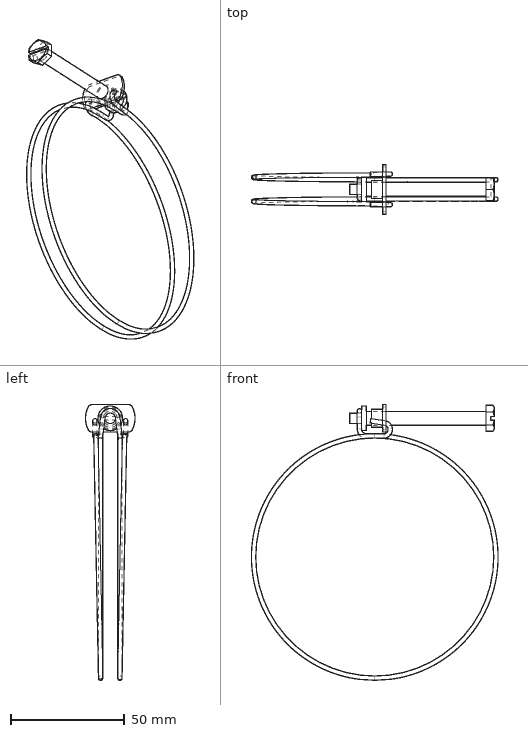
import cadquery as cq
import math


wire_diameter = 2.0
wire_radius = wire_diameter / 2
ring_radius = 53.48
ring_offset = 4.25
ring_start_offset = 6.35
hook_offset = 6.75
hook_bend_radius = 2.85
hook_bend_x = 4.0
hook_tip_x = -1.9
hook_angle = math.radians(8.5)
foot_bend_radius = 3.0

bolt_z = 61.23
shaft_radius = 3.1
tip_radius = 2.3
tip_end_x = -11.1
collar_radius = 5.45
collar_start_x = -5.75
collar_thickness = 2.0
head_start_x = 49.0
head_length = 3.8
head_flats = 10.0
head_corner_diameter = head_flats / math.cos(math.pi / 6)
head_chamfer_angle = math.radians(30)
head_face_radius = 4.75
slot_width = 1.5
slot_depth = 1.5

plate_width = 21.97
plate_height = 12.3
plate_thickness = 1.5
plate_start_x = 3.5
plate_side_radius = 11.0
plate_corner_radius = 2.2
sleeve_radius = 4.0
sleeve_length = 5.0

loop_x = collar_start_x - wire_radius
loop_radius = tip_radius + wire_radius

corner_drop = bolt_z - ring_radius
corner_distance = math.hypot(ring_offset, corner_drop)
loop_end_angle = math.acos(loop_radius / corner_distance) - math.atan2(corner_drop, ring_offset)
loop_end_y = loop_radius * math.cos(loop_end_angle)
loop_end_z = bolt_z + loop_radius * math.sin(loop_end_angle)


def rod(start_x, end_x, radius):
    """Cylinder on the bolt axis."""
    return cq.Workplane("YZ", origin=(start_x, 0, bolt_z)).circle(radius).extrude(end_x - start_x)


def make_head():
    """Hexagon head, corners up and down, with a conical chamfer and a driver slot on the end face."""
    head_end_x = head_start_x + head_length
    head = (
        cq.Workplane("YZ", origin=(head_start_x, 0, bolt_z))
        .transformed(rotate=(0, 0, 90))
        .polygon(6, head_corner_diameter)
        .extrude(head_length)
    )
    outer_radius = head_corner_diameter
    cone_depth = (outer_radius - head_face_radius) * math.tan(head_chamfer_angle)
    chamfer_envelope = (
        cq.Workplane("XY", origin=(0, 0, bolt_z))
        .moveTo(head_start_x - cone_depth, 0)
        .lineTo(head_end_x, 0)
        .lineTo(head_end_x, head_face_radius)
        .lineTo(head_end_x - cone_depth, outer_radius)
        .lineTo(head_start_x - cone_depth, outer_radius)
        .close()
        .revolve(360, (0, 0, 0), (1, 0, 0))
    )
    slot = (
        cq.Workplane("XY")
        .box(2 * slot_depth, 2 * head_flats, slot_width)
        .translate((head_end_x, 0, bolt_z))
    )
    return head.intersect(chamfer_envelope).cut(slot)


def make_bolt():
    """Shaft with a hexagon head, a collar and a thinner tip beyond the collar."""
    collar_end_x = collar_start_x + collar_thickness
    tip = rod(tip_end_x, collar_start_x, tip_radius)
    collar = rod(collar_start_x, collar_end_x, collar_radius)
    shaft = rod(collar_end_x, head_start_x, shaft_radius)
    return tip.union(collar).union(shaft).union(make_head())


def half_wire_edges(side):
    """Centreline edges from a hook tip to the loop, on the +Y (side=1) or -Y (side=-1) half."""
    hook_y = side * hook_offset
    start_y = side * ring_start_offset
    ring_y = side * ring_offset
    minus_x = cq.Vector(-1, 0, 0)

    bend_z = ring_radius + hook_bend_radius
    bend_top = cq.Vector(
        hook_bend_x + hook_bend_radius * math.sin(hook_angle),
        hook_y,
        bend_z + hook_bend_radius * math.cos(hook_angle),
    )
    hook_tip = cq.Vector(
        hook_tip_x, hook_y, bend_top.z + (bend_top.x - hook_tip_x) * math.tan(hook_angle)
    )
    bend_side = cq.Vector(hook_bend_x + hook_bend_radius, hook_y, bend_z)
    bend_bottom = cq.Vector(hook_bend_x, hook_y, ring_radius)

    ring_start = cq.Vector(0, start_y, ring_radius)
    ring_left = cq.Vector(-ring_radius, (start_y + ring_y) / 2, 0)
    ring_bottom = cq.Vector(0, ring_y, -ring_radius)
    ring_right = cq.Vector(ring_radius, ring_y, 0)
    ring_end = cq.Vector(0, ring_y, ring_radius)

    corner = cq.Vector(loop_x, ring_y, ring_radius)
    leg_end = cq.Vector(loop_x, side * loop_end_y, loop_end_z)
    leg_direction = (leg_end - corner).normalized()
    foot_start = corner - minus_x * foot_bend_radius
    foot_end = corner + leg_direction * foot_bend_radius
    foot_middle_shift = foot_bend_radius * (1 - math.sqrt(0.5))
    foot_middle = corner + (leg_direction - minus_x) * foot_middle_shift

    return [
        cq.Edge.makeLine(hook_tip, bend_top),
        cq.Edge.makeThreePointArc(bend_top, bend_side, bend_bottom),
        cq.Edge.makeSpline([bend_bottom, ring_start], tangents=[minus_x, minus_x]),
        cq.Edge.makeThreePointArc(ring_start, ring_left, ring_bottom),
        cq.Edge.makeThreePointArc(ring_bottom, ring_right, ring_end),
        cq.Edge.makeLine(ring_end, foot_start),
        cq.Edge.makeThreePointArc(foot_start, foot_middle, foot_end),
        cq.Edge.makeLine(foot_end, leg_end),
    ]


def make_wire():
    """One round wire: hook, ring, loop over the bolt tip, second ring, second hook."""
    loop = cq.Edge.makeThreePointArc(
        cq.Vector(loop_x, loop_end_y, loop_end_z),
        cq.Vector(loop_x, 0, bolt_z + loop_radius),
        cq.Vector(loop_x, -loop_end_y, loop_end_z),
    )
    path = cq.Wire.assembleEdges(half_wire_edges(1) + [loop] + half_wire_edges(-1)[::-1])
    hook_edge = half_wire_edges(1)[0]
    section = cq.Plane(origin=hook_edge.startPoint(), normal=hook_edge.tangentAt(0))
    return cq.Workplane(section).circle(wire_radius).sweep(cq.Workplane(path))


def make_plate(wire):
    """Plate with bulged sides and a sleeve, bored for the bolt and pierced by the wire hooks."""
    half_width = plate_width / 2
    half_height = plate_height / 2
    side_bulge = plate_side_radius - math.sqrt(plate_side_radius**2 - half_height**2)
    corner_y = half_width - side_bulge
    plate = (
        cq.Workplane("YZ", origin=(plate_start_x, 0, bolt_z))
        .moveTo(-corner_y, half_height)
        .lineTo(corner_y, half_height)
        .threePointArc((half_width, 0), (corner_y, -half_height))
        .lineTo(-corner_y, -half_height)
        .threePointArc((-half_width, 0), (-corner_y, half_height))
        .close()
        .extrude(plate_thickness)
        .edges("|X")
        .fillet(plate_corner_radius)
    )
    sleeve_start_x = plate_start_x - sleeve_length
    sleeve = rod(sleeve_start_x, plate_start_x, sleeve_radius)
    bore = rod(sleeve_start_x, plate_start_x + plate_thickness, shaft_radius)
    return plate.union(sleeve).cut(bore).cut(wire)


bolt = make_bolt()
wire = make_wire()
plate = make_plate(wire)

result = cq.Compound.makeCompound([bolt.solids().val(), plate.solids().val(), wire.val()])